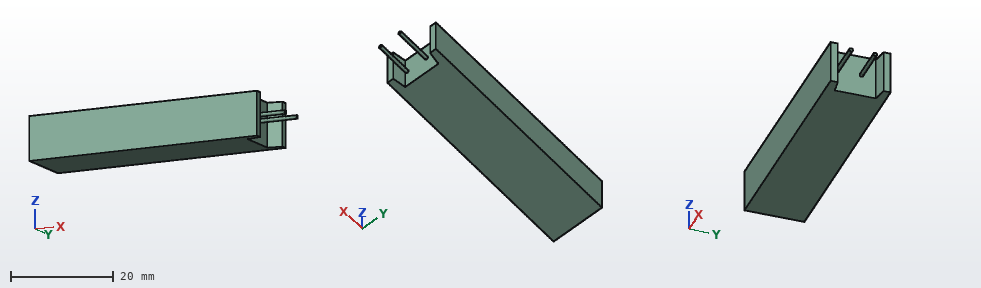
import cadquery as cq

total_length = 55.0
body_length = 50.0
body_width = 12.5
body_height = 9.0

notch_depth = 3.0
arm_tip_width = 1.5
arm_root_width = 2.0

lead_diameter = 0.75
lead_spacing = 5.0
lead_pair_offset_y = -1.25
lead_offset_z = 0.2

notch_floor_x = body_length - notch_depth


def make_body():
    """Rectangular block starting at X = 0, centred in Y and Z."""
    return cq.Workplane("XY").box(
        body_length, body_width, body_height, centered=(False, True, True)
    )


def make_notch():
    """Full-height cutter that widens from the notch floor to the open end."""
    half_floor = body_width / 2 - arm_root_width
    half_mouth = body_width / 2 - arm_tip_width
    outline = [
        (notch_floor_x, -half_floor),
        (body_length, -half_mouth),
        (body_length, half_mouth),
        (notch_floor_x, half_floor),
    ]
    return cq.Workplane("XY").polyline(outline).close().extrude(body_height / 2, both=True)


def make_leads():
    """Pair of round leads running along X from the notch floor to the far end."""
    centres = [
        (lead_pair_offset_y + side * lead_spacing / 2, lead_offset_z)
        for side in (-1, 1)
    ]
    return (
        cq.Workplane("YZ", origin=(notch_floor_x, 0, 0))
        .pushPoints(centres)
        .circle(lead_diameter / 2)
        .extrude(total_length - notch_floor_x)
    )


result = make_body().cut(make_notch()).union(make_leads())